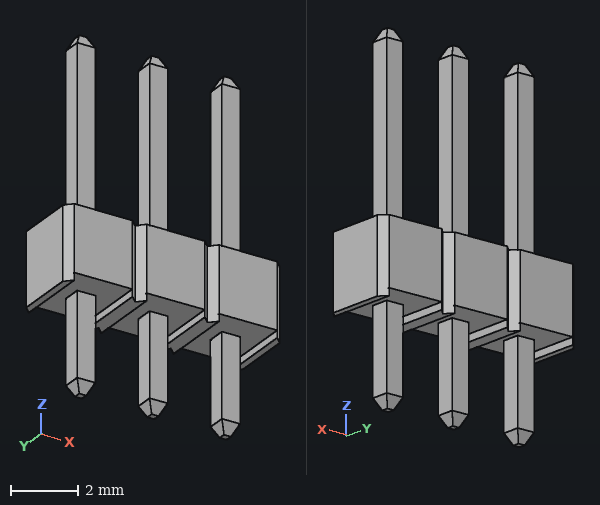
import cadquery as cq

pin_count = 3
housing_length = 7.62
pitch = housing_length / pin_count
housing_width = 2.54
housing_height = 2.54
corner_chamfer = 0.25
channel_depth = 0.25
channel_length = pitch - 2 * corner_chamfer

pin_length = 11.94
pin_width = 0.65
tip_width = 0.25
tip_length = 0.39
pin_below_housing = 3.05

cell_centers = [(i - (pin_count - 1) / 2) * pitch for i in range(pin_count)]


def make_cell():
    """Chamfered housing block, with a channel across its underside leaving standoff feet."""
    block = (
        cq.Workplane("XY")
        .box(pitch, housing_width, housing_height, centered=(True, True, False))
        .edges("|Z")
        .chamfer(corner_chamfer)
    )
    channel = cq.Workplane("XY").box(
        channel_length, housing_width, channel_depth, centered=(True, True, False)
    )
    return block.cut(channel)


def make_tip(direction):
    """Truncated pyramid on the base plane, narrowing upward (1) or downward (-1)."""
    return (
        cq.Workplane("XY")
        .rect(pin_width, pin_width)
        .workplane(offset=direction * tip_length)
        .rect(tip_width, tip_width)
        .loft(ruled=True)
    )


def make_pin():
    """Square pin with a tapered tip at each end; the housing base is at Z = 0."""
    shank_bottom = tip_length - pin_below_housing
    shank_length = pin_length - 2 * tip_length
    shank = (
        cq.Workplane("XY", origin=(0, 0, shank_bottom))
        .rect(pin_width, pin_width)
        .extrude(shank_length)
    )
    lower_tip = make_tip(-1).translate((0, 0, shank_bottom))
    upper_tip = make_tip(1).translate((0, 0, shank_bottom + shank_length))
    return shank.union(lower_tip).union(upper_tip)


header_cell = make_cell().union(make_pin())
result = header_cell.translate((cell_centers[0], 0, 0))
for center_x in cell_centers[1:]:
    result = result.union(header_cell.translate((center_x, 0, 0)))